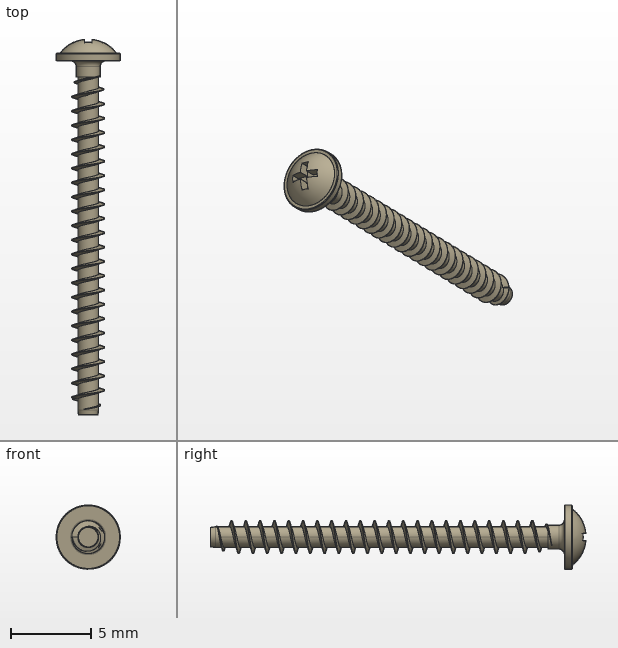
import cadquery as cq
import math


flange_diameter = 4.0
flange_thickness = 0.5
flange_chamfer = 0.05
head_height = 1.35
dome_base_diameter = 3.5

recess_span = 1.8
recess_wing_width = 0.45
recess_depth = 0.8

length = 22.0
neck_diameter = 1.5
neck_length = 1.0
neck_fillet = 0.34
core_diameter = 1.3
tip_diameter = 1.22
tip_taper_length = 0.3

thread_diameter = 2.05
pitch = 0.89
flank_angle = 30.0
crest_width = 0.03
root_overlap = 0.1
head_fade_start = 0.75
full_thread_start = 2.25
full_thread_end = 23.5
tip_fade_end = 24.5
head_fade_drop = 0.3
tip_fade_drop = 0.45

core_radius = core_diameter / 2
crest_radius = thread_diameter / 2


def make_head_and_shank():
    neck_radius = neck_diameter / 2
    flange_radius = flange_diameter / 2
    dome_base_radius = dome_base_diameter / 2
    recess_corner_radius = recess_wing_width * math.sqrt(0.5)
    rim_rise = head_height - flange_thickness
    rim_inset_squared = dome_base_radius**2 - recess_corner_radius**2
    dome_centre_depth = (rim_inset_squared / rim_rise - rim_rise) / 2
    dome_radius = math.hypot(dome_base_radius, dome_centre_depth)
    dome_centre_height = flange_thickness - dome_centre_depth
    dome_apex_height = dome_centre_height + dome_radius
    half_span = math.asin(dome_base_radius / dome_radius) / 2
    dome_middle = (
        dome_radius * math.sin(half_span),
        dome_centre_height + dome_radius * math.cos(half_span),
    )
    fillet_reach = neck_fillet * (1 - math.sqrt(0.5))
    return (
        cq.Workplane("XZ")
        .moveTo(0, -length)
        .lineTo(tip_diameter / 2, -length)
        .lineTo(core_radius, -length + tip_taper_length)
        .lineTo(core_radius, -neck_length)
        .lineTo(neck_radius, -neck_length)
        .lineTo(neck_radius, -neck_fillet)
        .threePointArc(
            (neck_radius + fillet_reach, -fillet_reach),
            (neck_radius + neck_fillet, 0),
        )
        .lineTo(flange_radius - flange_chamfer, 0)
        .lineTo(flange_radius, flange_chamfer)
        .lineTo(flange_radius, flange_thickness - flange_chamfer)
        .lineTo(flange_radius - flange_chamfer, flange_thickness)
        .lineTo(dome_base_radius, flange_thickness)
        .threePointArc(dome_middle, (0, dome_apex_height))
        .close()
        .revolve(360, (0, 0, 0), (0, 1, 0))
    )


def make_cross_recess():
    floor = cq.Workplane("XY").workplane(offset=head_height - recess_depth)
    wing = floor.rect(recess_span, recess_wing_width).extrude(2 * recess_depth)
    return wing.union(wing.rotate((0, 0, 0), (0, 0, 1), 90))


def ridge_corners():
    """Corners of the ridge's cross-section as (radius, height) pairs."""
    root_radius = core_radius - root_overlap
    half_crest = crest_width / 2
    flank_slope = math.tan(math.radians(flank_angle / 2))
    half_root = half_crest + (crest_radius - root_radius) * flank_slope
    return [
        (root_radius, -half_root),
        (crest_radius, -half_crest),
        (crest_radius, half_crest),
        (root_radius, half_root),
    ]


def helix_edge(start_radius, start_height, turns, growth):
    """A right-handed helix from the +X side that widens by `growth` as it rises."""
    rise = turns * pitch
    centre = cq.Vector(0, 0, start_height)
    if growth == 0:
        helix = cq.Wire.makeHelix(pitch, rise, start_radius, centre)
    else:
        cone_angle = math.degrees(math.atan2(growth, rise))
        helix = cq.Wire.makeHelix(pitch, rise, start_radius, centre, angle=cone_angle)
    return helix.Edges()[0]


def ridge(turns, drop=0.0):
    """A helical ridge rising from Z = 0 on the +X side, where it is sunk into the core by `drop`."""
    edges = [helix_edge(radius - drop, height, turns, drop) for radius, height in ridge_corners()]
    neighbours = list(zip(edges, edges[1:] + edges[:1]))
    flanks = [cq.Face.makeRuledSurface(first, second) for first, second in neighbours]
    first_cap = cq.Face.makeFromWires(cq.Wire.makePolygon([e.startPoint() for e in edges], close=True))
    last_cap = cq.Face.makeFromWires(cq.Wire.makePolygon([e.endPoint() for e in edges], close=True))
    shell = cq.Shell.makeShell(flanks + [first_cap, last_cap])
    return cq.Workplane(cq.Solid.makeSolid(shell))


def place_at_turn(body, turn):
    """Move a body that starts at +X down the shank to the given turn."""
    return body.rotate((0, 0, 0), (0, 0, 1), -360 * turn).translate((0, 0, -turn * pitch))


def make_thread():
    full_ridge = ridge(full_thread_end - full_thread_start)
    tip_fade = ridge(tip_fade_end - full_thread_end, tip_fade_drop)
    head_fade = ridge(full_thread_start - head_fade_start, head_fade_drop)
    head_fade = head_fade.rotate((0, 0, 0), (1, 0, 0), 180)
    return [
        place_at_turn(full_ridge, full_thread_end),
        place_at_turn(tip_fade, tip_fade_end),
        place_at_turn(head_fade, head_fade_start),
    ]


screw = make_head_and_shank().cut(make_cross_recess())
for stretch in make_thread():
    screw = screw.union(stretch)

result = screw.rotate((0, 0, 0), (1, 0, 0), -90)